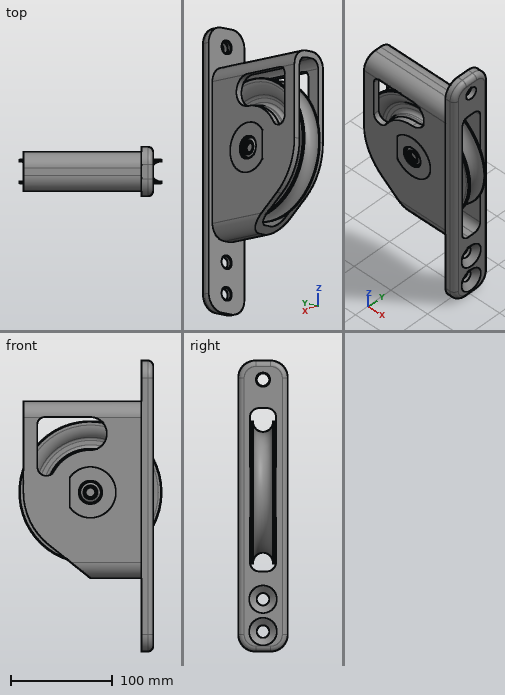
import cadquery as cq
import math


diagonal = math.sqrt(0.5)

plate_length = 286.0
plate_width = 49.0
plate_back = 50.0
plate_thickness = 11.7
plate_front = plate_back + plate_thickness
plate_middle = -13.5
plate_corner_radius = 17.2
plate_edge_radius = 5.7

upper_hole_height = 110.7
lower_hole_heights = [-105.0, -136.7]
hole_diameter = 12.0
hole_mouth_diameter = 14.0
hole_mouth_depth = 1.0
hole_bore_depth = 5.1
lower_hole_sink_diameter = 27.2

case_top = 89.5
case_bottom = -84.5
case_width = 39.2
case_nose_radius = 65.8
case_corner_radius = 15.7
wall = 7.0
case_height = case_top - case_bottom
case_middle = (case_top + case_bottom) / 2

window_left = -52.0
window_top = case_top - case_corner_radius
window_inner_radius = 41.5
window_corner_radius = 7.2
window_tail_radius = 8.5
window_end_radius = (window_top - window_inner_radius) / 2

wheel_radius = 70.0
wheel_half_width = 12.0
groove_radius = 9.7
groove_centre = 69.2
rim_inner_radius = 66.4
rim_chamfer = 1.0
rim_curve_radius = 15.0
rim_fillet_radius = 3.7
rim_curve_angle = math.radians(54)
hub_root_radius = 47.0
hub_diameter = 86.0
hub_radius = hub_diameter / 2
hub_face_radius = 41.5

axle_diameter = 50.0
axle_radius = axle_diameter / 2
axle_flat = 20.3
socket_diameter = 21.5
socket_rim = 1.0
socket_depth = 3.0
stud_diameter = 20.0
stud_edge_radius = 2.3
stud_height = 2.5
stud_mouth_diameter = 13.7
stud_mouth_depth = 1.0
stud_step_diameter = 11.0
stud_step_depth = 1.7
stud_hole_diameter = 9.2
stud_hole_depth = 3.0


def rounded_bar(width, height, middle, radius, x_start, x_end):
    """A bar along X with a rounded rectangular section."""
    return (
        cq.Workplane("YZ", origin=(x_start, 0, middle))
        .rect(width, height)
        .extrude(x_end - x_start)
        .edges("|X")
        .fillet(radius)
    )


def make_plate():
    """The upright plate, rounded along its front edge."""
    plate = rounded_bar(plate_width, plate_length, plate_middle, plate_corner_radius, plate_back, plate_front)
    return plate.faces(">X").edges().fillet(plate_edge_radius)


def bore(height, diameter, x_start, x_end):
    """A round cutter along X through the plate."""
    return cq.Workplane("YZ", origin=(x_start, 0, height)).circle(diameter / 2).extrude(x_end - x_start)


def cone(height, start_diameter, end_diameter, x_start, x_end):
    """A conical cutter along X through the plate."""
    return (
        cq.Workplane("YZ", origin=(x_start, 0, height))
        .circle(start_diameter / 2)
        .workplane(offset=x_end - x_start)
        .circle(end_diameter / 2)
        .loft(ruled=True)
    )


def mounting_holes():
    """All three holes: a chamfer and a bore at the back, then a wider bore or a countersink in front."""
    bore_start = plate_back + hole_mouth_depth
    bore_end = plate_back + hole_bore_depth
    cutters = cq.Workplane()
    for height in [upper_hole_height, *lower_hole_heights]:
        cutters = cutters.add(cone(height, hole_mouth_diameter, hole_diameter, plate_back, bore_start))
        cutters = cutters.add(bore(height, hole_diameter, bore_start, bore_end))
    cutters = cutters.add(bore(upper_hole_height, hole_mouth_diameter, bore_end, plate_front))
    for height in lower_hole_heights:
        cutters = cutters.add(cone(height, hole_diameter, lower_hole_sink_diameter, bore_end, plate_front))
    return cutters.combine()


def case_side_profile():
    """Side outline: square at the top, round at the nose, then straight along the tangent to the bottom."""
    tangent_angle = -math.pi / 2 - math.acos(case_nose_radius / -case_bottom)
    middle_angle = (tangent_angle - math.pi) / 2

    def nose_point(angle):
        return (case_nose_radius * math.cos(angle), case_nose_radius * math.sin(angle))

    return (
        cq.Workplane("XZ", origin=(0, case_width / 2, 0))
        .moveTo(plate_back, case_top)
        .lineTo(-case_nose_radius, case_top)
        .lineTo(-case_nose_radius, 0)
        .threePointArc(nose_point(middle_angle), nose_point(tangent_angle))
        .lineTo(0, case_bottom)
        .lineTo(plate_back, case_bottom)
        .close()
        .extrude(case_width)
    )


def make_case():
    """The solid case behind the plate, before the tunnel is cut."""
    bar = rounded_bar(case_width, case_height, case_middle, case_corner_radius, -case_nose_radius, plate_back)
    return bar.intersect(case_side_profile())


def make_tunnel():
    """The space for the wheel, open at both ends of the case and through the plate."""
    return rounded_bar(
        case_width - 2 * wall,
        case_height - 2 * wall,
        case_middle,
        case_corner_radius - wall,
        -case_nose_radius,
        plate_front,
    )


def make_window():
    """A cutter with a round end on the +X side, an arc about the wheel axis and a round tail."""
    end_height = window_inner_radius + window_end_radius
    tail_distance = window_inner_radius + window_tail_radius
    tail_x = window_left + window_tail_radius
    tail_z = math.sqrt(tail_distance**2 - tail_x**2)
    contact_scale = window_inner_radius / tail_distance
    tail_angle = math.atan2(tail_z, tail_x)
    inner_angle = (tail_angle + math.pi / 2) / 2
    tail_middle_angle = math.pi + tail_angle / 2
    tail_middle = (
        tail_x + window_tail_radius * math.cos(tail_middle_angle),
        tail_z + window_tail_radius * math.sin(tail_middle_angle),
    )
    corner_offset = window_corner_radius * (1 - diagonal)
    return (
        cq.Workplane("XZ", origin=(0, case_width / 2, 0))
        .moveTo(0, window_top)
        .threePointArc((window_end_radius, end_height), (0, window_inner_radius))
        .threePointArc(
            (window_inner_radius * math.cos(inner_angle), window_inner_radius * math.sin(inner_angle)),
            (tail_x * contact_scale, tail_z * contact_scale),
        )
        .threePointArc(tail_middle, (window_left, tail_z))
        .lineTo(window_left, window_top - window_corner_radius)
        .threePointArc(
            (window_left + corner_offset, window_top - corner_offset),
            (window_left + window_corner_radius, window_top),
        )
        .close()
        .extrude(case_width)
    )


def axle_prism():
    """A round bar as wide as the case, with a flat on the -X side."""
    cylinder = cq.Workplane("XZ", origin=(0, case_width / 2, 0)).circle(axle_radius).extrude(case_width)
    keep = cq.Workplane().box(2 * axle_radius, case_width, 2 * axle_radius)
    return cylinder.intersect(keep.translate((axle_radius - axle_flat, 0, 0)))


def make_housing():
    housing = make_plate().union(make_case())
    for cutter in [make_tunnel(), make_window(), mounting_holes(), axle_prism()]:
        housing = housing.cut(cutter)
    return housing


def arc_point(centre, radius, angle):
    """A point on a circle in the wheel section, at an angle inward from the outward side."""
    return (centre[0] - radius * math.sin(angle), centre[1] + radius * math.cos(angle))


def wheel_half():
    """The +Y half of the wheel without its groove, turned from a half section."""
    rim_centre = (rim_inner_radius, wheel_half_width - rim_curve_radius)
    rim_end = arc_point(rim_centre, rim_curve_radius, rim_curve_angle)
    fillet_centre = arc_point(rim_centre, rim_curve_radius + rim_fillet_radius, rim_curve_angle)
    web_start = (fillet_centre[0], fillet_centre[1] - rim_fillet_radius)
    web_half = web_start[1]
    root_radius = hub_root_radius - hub_radius
    edge_radius = hub_radius - hub_face_radius
    profile = (
        cq.Workplane("XY")
        .moveTo(0, 0)
        .lineTo(wheel_radius, 0)
        .lineTo(wheel_radius, wheel_half_width - rim_chamfer)
        .lineTo(wheel_radius - rim_chamfer, wheel_half_width)
        .lineTo(rim_inner_radius, wheel_half_width)
        .threePointArc(arc_point(rim_centre, rim_curve_radius, rim_curve_angle / 2), rim_end)
        .threePointArc(arc_point(fillet_centre, -rim_fillet_radius, rim_curve_angle / 2), web_start)
        .lineTo(hub_root_radius, web_half)
        .threePointArc(
            (hub_root_radius - root_radius * diagonal, web_half + root_radius * (1 - diagonal)),
            (hub_radius, web_half + root_radius),
        )
        .lineTo(hub_radius, wheel_half_width - edge_radius)
        .threePointArc(
            (hub_face_radius + edge_radius * diagonal, wheel_half_width - edge_radius * (1 - diagonal)),
            (hub_face_radius, wheel_half_width),
        )
        .lineTo(0, wheel_half_width)
        .close()
    )
    return profile.revolve(360, (0, 0, 0), (0, 1, 0))


def rope_groove():
    """The ring-shaped cutter for the round-bottomed groove."""
    return (
        cq.Workplane("XY")
        .moveTo(wheel_radius, -groove_radius)
        .lineTo(groove_centre, -groove_radius)
        .threePointArc((groove_centre - groove_radius, 0), (groove_centre, groove_radius))
        .lineTo(wheel_radius, groove_radius)
        .close()
        .revolve(360, (0, 0, 0), (0, 1, 0))
    )


def axle_disc(diameter, start, length):
    """A round piece in the -Y end of the axle, from `start` below the end face."""
    return cq.Workplane("XZ", origin=(0, start - case_width / 2, 0)).circle(diameter / 2).extrude(-length)


def make_axle():
    """The D-shaped axle, each end with a ring-shaped socket around a stud with a stepped hole."""
    top = socket_depth - stud_height
    stud = axle_disc(stud_diameter, top, stud_height).faces("<Y").edges().fillet(stud_edge_radius)
    stud_mouth = axle_disc(stud_mouth_diameter, top, stud_mouth_depth)
    stud_step = axle_disc(stud_step_diameter, top, stud_step_depth)
    stud_hole = axle_disc(stud_hole_diameter, top, stud_hole_depth)
    mouth_plane = cq.Workplane("XZ", origin=(0, -case_width / 2, 0))
    rim = (
        mouth_plane.circle(socket_diameter / 2 + socket_rim)
        .workplane(offset=-socket_rim)
        .circle(socket_diameter / 2)
        .loft(ruled=True)
    )
    socket = axle_disc(socket_diameter, 0, socket_depth).union(rim).cut(stud)
    end_cut = socket.union(stud_mouth).union(stud_step).union(stud_hole)
    return axle_prism().cut(end_cut).cut(end_cut.rotate((0, 0, 0), (1, 0, 0), 180))


def make_wheel():
    half = wheel_half()
    disc = half.union(half.rotate((0, 0, 0), (1, 0, 0), 180))
    return disc.cut(rope_groove()).union(make_axle())


housing = make_housing()
wheel = make_wheel()
result = cq.Compound.makeCompound([housing.val(), wheel.val()])